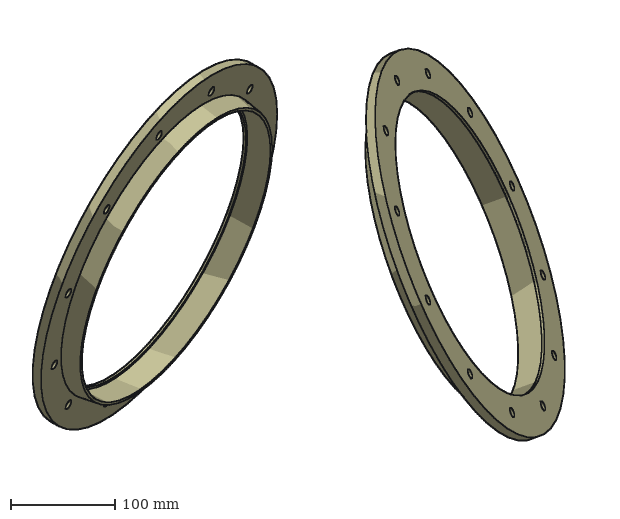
import cadquery as cq
import math

flange_diameter = 395.0
flange_thickness = 10.0

lip_bore_diameter = 310.0
lip_thickness = 3.0
main_bore_diameter = 315.0

total_depth = 30.0
collar_end_wall = 3.0
collar_taper_angle = 10.0
collar_length = total_depth - flange_thickness
collar_end_radius = main_bore_diameter / 2 + collar_end_wall
collar_root_radius = collar_end_radius + collar_length * math.tan(math.radians(collar_taper_angle))

bolt_count = 12
bolt_hole_diameter = 9.5
bolt_circle_diameter = 350.0


def make_ring_body():
    """Flange, tapered collar and stepped bore, revolved about the X axis."""
    flange_radius = flange_diameter / 2
    lip_radius = lip_bore_diameter / 2
    main_bore_radius = main_bore_diameter / 2
    return (
        cq.Workplane("XY")
        .moveTo(0, lip_radius)
        .lineTo(0, flange_radius)
        .lineTo(flange_thickness, flange_radius)
        .lineTo(flange_thickness, collar_root_radius)
        .lineTo(total_depth, collar_end_radius)
        .lineTo(total_depth, main_bore_radius)
        .lineTo(lip_thickness, main_bore_radius)
        .lineTo(lip_thickness, lip_radius)
        .close()
        .revolve(360, (0, 0, 0), (1, 0, 0))
    )


def make_bolt_holes():
    """Evenly spaced circle of cylinders that pass through the flange."""
    return (
        cq.Workplane("YZ")
        .polarArray(bolt_circle_diameter / 2, 0, 360, bolt_count)
        .circle(bolt_hole_diameter / 2)
        .extrude(flange_thickness)
    )


result = make_ring_body().cut(make_bolt_holes())